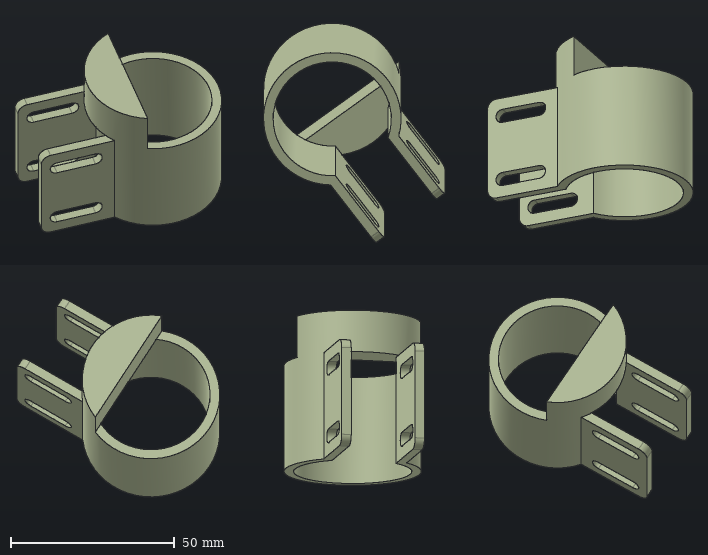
import cadquery as cq

outer_diameter = 42.0
bore_diameter = 36.0
ring_height = 33.0

total_height = 46.0
cap_flat_y = -8.0

overall_depth = 61.05
plate_thickness = 3.0
plate_gap = 20.0
plate_corner_radius = 3.0
plate_end_y = outer_diameter / 2 - overall_depth

slot_length = 16.6
slot_width = 4.3
slot_center_y = -28.8
slot_edge_distance = 6.0

plate_root_y = cap_flat_y


def make_ring():
    return cq.Workplane("XY").circle(outer_diameter / 2).extrude(ring_height)


def make_plate(start_x):
    """Slotted plate whose -X face lies at start_x."""
    length = plate_root_y - plate_end_y
    plate = (
        cq.Workplane("XY")
        .box(plate_thickness, length, ring_height, centered=False)
        .translate((start_x, plate_end_y, 0))
        .edges("|X and <Y")
        .fillet(plate_corner_radius)
    )
    slots = (
        cq.Workplane("YZ", origin=(start_x, 0, 0))
        .pushPoints([
            (slot_center_y, slot_edge_distance),
            (slot_center_y, ring_height - slot_edge_distance),
        ])
        .slot2D(slot_length, slot_width)
        .extrude(plate_thickness)
    )
    return plate.cut(slots)


def make_cap():
    """Circular segment on top of the ring, flat on its +Y side."""
    behind_flat = (
        cq.Workplane("XY", origin=(0, cap_flat_y, ring_height))
        .rect(outer_diameter, 2 * outer_diameter)
        .extrude(total_height - ring_height)
        .translate((0, outer_diameter, 0))
    )
    disc = (
        cq.Workplane("XY", origin=(0, 0, ring_height))
        .circle(outer_diameter / 2)
        .extrude(total_height - ring_height)
    )
    return disc.cut(behind_flat)


split = (
    cq.Workplane("XY")
    .rect(plate_gap, outer_diameter)
    .extrude(ring_height)
    .translate((0, -outer_diameter / 2, 0))
)
bore = cq.Workplane("XY").circle(bore_diameter / 2).extrude(ring_height)

result = make_ring()
for start_x in (-plate_gap / 2 - plate_thickness, plate_gap / 2):
    result = result.union(make_plate(start_x))
result = result.cut(split).cut(bore).union(make_cap())